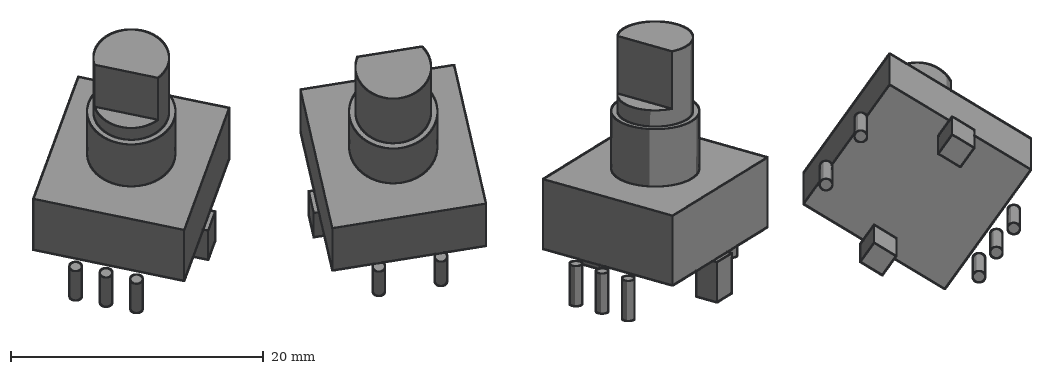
import cadquery as cq

terminal_length = 3.5
housing_height = 6.1
bushing_height = 5.0
overall_height = 21.0
housing_bottom = terminal_length
housing_top = housing_bottom + housing_height
bushing_top = housing_top + bushing_height

housing_width = 12.4
housing_depth = 13.4
bushing_diameter = 7.0
shaft_diameter = 6.0
flat_length = 5.0
flat_offset = 1.5

pin_diameter = 1.0
pin_pitch = 2.5
front_pin_y = -7.5
rear_pin_y = 7.0
pin_positions = [(column * pin_pitch, front_pin_y) for column in (-1, 0, 1)]
pin_positions += [(side * pin_pitch, rear_pin_y) for side in (-1, 1)]

tab_span = 13.2
tab_thickness = 2.0
tab_width = 2.1
tab_offset = (tab_span - tab_thickness) / 2


def upright_cylinder(diameter, bottom, top):
    return cq.Workplane("XY").workplane(offset=bottom).circle(diameter / 2).extrude(top - bottom)


def make_shaft():
    """Round shaft with a flat on the -Y side of its upper end."""
    shaft = upright_cylinder(shaft_diameter, bushing_top, overall_height)
    flat_cut = (
        cq.Workplane("XY")
        .workplane(offset=overall_height - flat_length)
        .center(0, -flat_offset - shaft_diameter / 2)
        .rect(shaft_diameter, shaft_diameter)
        .extrude(flat_length)
    )
    return shaft.cut(flat_cut)


def make_housing():
    """Box housing in one piece with its bushing and shaft."""
    box = (
        cq.Workplane("XY")
        .workplane(offset=housing_bottom)
        .rect(housing_width, housing_depth)
        .extrude(housing_height)
    )
    bushing = upright_cylinder(bushing_diameter, housing_top, bushing_top)
    return box.union(bushing).union(make_shaft())


def make_pin(x, y):
    return upright_cylinder(pin_diameter, 0, terminal_length).translate((x, y, 0))


def make_tab(side):
    """Mounting tab on the -X (side = -1) or +X (side = 1) edge."""
    return cq.Workplane("XY").center(side * tab_offset, 0).rect(tab_thickness, tab_width).extrude(terminal_length)


housing = make_housing()
pins = [make_pin(x, y) for x, y in pin_positions]
tabs = [make_tab(side) for side in (-1, 1)]

result = cq.Compound.makeCompound(
    [housing.val(), *[pin.val() for pin in pins], *[tab.val() for tab in tabs]]
)